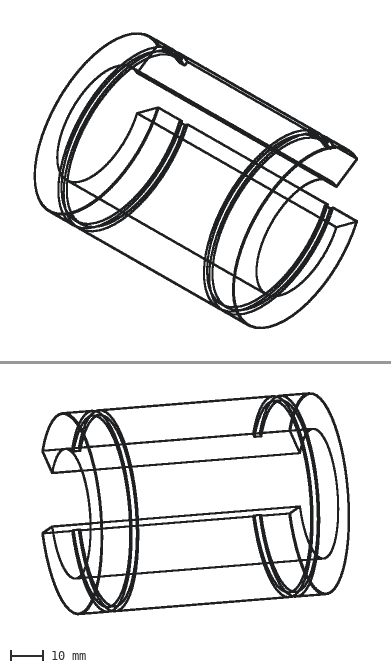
import cadquery as cq
import math

length = 80.0
outer_diameter = 62.0
bore_diameter = 40.0
opening_angle = 50.0

groove_diameter = 59.0
groove_width = 2.15
groove_outer_span = 60.6

edge_chamfer = 0.2

outer_radius = outer_diameter / 2
bore_radius = bore_diameter / 2
cutter_reach = outer_diameter


def disc(radius, thickness, start_x):
    """Solid disc centred on the X axis that begins at start_x."""
    return cq.Workplane("YZ", origin=(start_x, 0, 0)).circle(radius).extrude(thickness)


def sleeve():
    """Plain bushing with its two outer end edges chamfered."""
    cylinder = disc(outer_radius, length, -length / 2)
    cylinder = cylinder.faces("<X or >X").chamfer(edge_chamfer)
    bore = disc(bore_radius, length, -length / 2)
    return cylinder.cut(bore)


def cut_ring_grooves(body):
    """Cut the two retaining ring grooves, symmetric about mid-length."""
    first_start = -groove_outer_span / 2
    second_start = groove_outer_span / 2 - groove_width
    for start_x in (first_start, second_start):
        groove_core = disc(groove_diameter / 2, groove_width, start_x)
        ring = disc(cutter_reach, groove_width, start_x).cut(groove_core)
        body = body.cut(ring)
    return body


def cut_opening(body):
    """Cut the full-length wedge whose flanks are radial to the axis."""
    half_width = cutter_reach * math.tan(math.radians(opening_angle / 2))
    wedge = (
        cq.Workplane("YZ", origin=(-length / 2, 0, 0))
        .polyline([(0, 0), (cutter_reach, half_width), (cutter_reach, -half_width)])
        .close()
        .extrude(length)
    )
    return body.cut(wedge)


result = cut_opening(cut_ring_grooves(sleeve()))